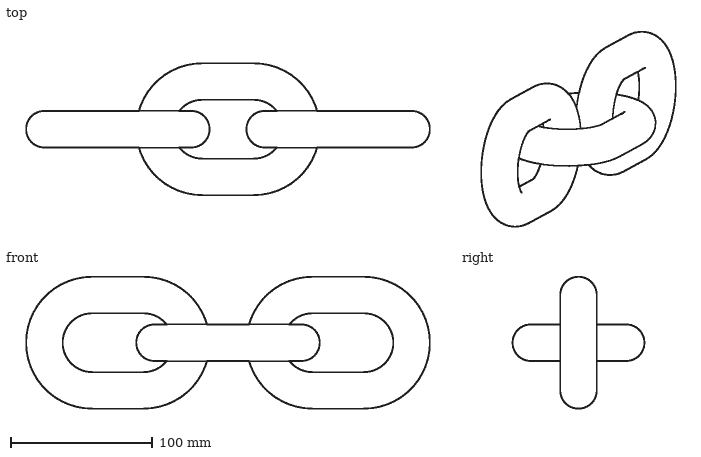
import cadquery as cq

chain_length = 286.0
link_width = 93.5
wire_diameter = 26.0
link_count = 3

pitch = (chain_length - 2 * wire_diameter) / link_count
link_length = pitch + 2 * wire_diameter
bend_radius = (link_width - wire_diameter) / 2
half_straight = (link_length - link_width) / 2


def make_link():
    """Round-wire link centred on the origin, long along X and lying in the XZ plane."""
    centreline = (
        cq.Workplane("XZ")
        .moveTo(-half_straight, bend_radius)
        .lineTo(half_straight, bend_radius)
        .threePointArc((half_straight + bend_radius, 0), (half_straight, -bend_radius))
        .lineTo(-half_straight, -bend_radius)
        .threePointArc((-half_straight - bend_radius, 0), (-half_straight, bend_radius))
        .close()
    )
    return (
        cq.Workplane("YZ", origin=(-half_straight, 0, bend_radius))
        .circle(wire_diameter / 2)
        .sweep(centreline)
    )


links = []
for index in range(link_count):
    link = make_link()
    if index % 2 == 1:
        link = link.rotate((0, 0, 0), (1, 0, 0), 90)
    link_x = (index - (link_count - 1) / 2) * pitch
    links.append(link.translate((link_x, 0, 0)).val())

result = cq.Compound.makeCompound(links)